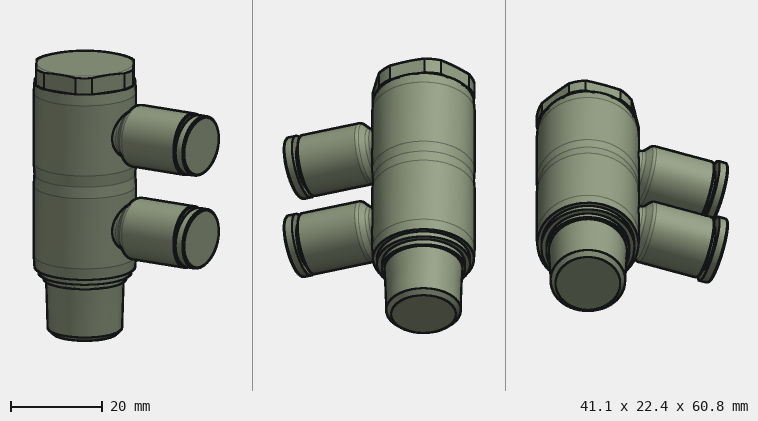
import cadquery as cq
import math

total_height = 60.8
module_height = 21.0
module_count = 2
hex_height = 3.95
stack_top = total_height - hex_height
stack_bottom = stack_top - module_count * module_height

module_radius = 11.2
module_end_radius = 11.0
module_taper_length = 2.55

hex_across_flats = 21.15
hex_corner_radius = 11.3
hex_top_radius = 10.45
hex_chamfer_height = 0.25

upper_shoulder_radius = 10.15
lower_shoulder_radius = 9.05
shoulder_height = 1.35
shoulder_bottom = stack_bottom - 2 * shoulder_height
stem_bottom_radius = 8.15
stem_chamfer = 1.1
stem_taper_ratio = 1 / 16
stem_taper_length = shoulder_bottom - stem_chamfer
stem_top_radius = stem_bottom_radius + stem_taper_length * stem_taper_ratio / 2

outlet_neck_radius = 5.05
outlet_radius = 6.8
outlet_cone_start = 11.3
outlet_cone_end = outlet_cone_start + outlet_radius - outlet_neck_radius
outlet_cone_fillet = 1.05
outlet_body_end = 26.8
outlet_end_chamfer = 0.2

collar_stem_radius = 4.85
collar_start = 27.7
collar_end = 29.75
collar_half_width = 7.6
collar_half_height = 6.5
collar_chamfer = 0.3


def make_stem():
    """Chamfered, tapered stem with two stepped shoulders above it."""
    profile = [
        (0, 0),
        (stem_bottom_radius - stem_chamfer, 0),
        (stem_bottom_radius, stem_chamfer),
        (stem_top_radius, shoulder_bottom),
        (lower_shoulder_radius, shoulder_bottom),
        (lower_shoulder_radius, shoulder_bottom + shoulder_height),
        (upper_shoulder_radius, shoulder_bottom + shoulder_height),
        (upper_shoulder_radius, stack_bottom),
        (0, stack_bottom),
    ]
    return cq.Workplane("XZ").polyline(profile).close().revolve(360, (0, 0), (0, 1))


def make_module(base):
    """Round module that narrows slightly towards both ends."""
    top = base + module_height
    profile = [
        (0, base),
        (module_end_radius, base),
        (module_radius, base + module_taper_length),
        (module_radius, top - module_taper_length),
        (module_end_radius, top),
        (0, top),
    ]
    return cq.Workplane("XZ").polyline(profile).close().revolve(360, (0, 0), (0, 1))


def make_hex_cap():
    """Hexagon with flats facing +Y and -Y, trimmed by a disc with a chamfered top rim."""
    across_corners = hex_across_flats / math.cos(math.pi / 6)
    hexagon = cq.Workplane("XY").workplane(offset=stack_top).polygon(6, across_corners).extrude(hex_height)
    profile = [
        (0, stack_top),
        (hex_corner_radius, stack_top),
        (hex_corner_radius, total_height - hex_chamfer_height),
        (hex_top_radius, total_height),
        (0, total_height),
    ]
    disc = cq.Workplane("XZ").polyline(profile).close().revolve(360, (0, 0), (0, 1))
    return hexagon.intersect(disc)


def make_outlet(height):
    """Outlet on +X: neck, cone blended at both ends, round body, groove and oval collar."""
    profile = [
        (0, 0),
        (0, outlet_neck_radius),
        (outlet_cone_start, outlet_neck_radius),
        (outlet_cone_end, outlet_radius),
        (outlet_body_end, outlet_radius),
        (outlet_body_end, 0),
    ]
    body = cq.Workplane("XZ").polyline(profile).close().revolve(360, (0, 0), (1, 0))
    body = body.faces(">X").edges().chamfer(outlet_end_chamfer)
    for rim_x in (outlet_cone_start, outlet_cone_end):
        cone_rim = cq.selectors.NearestToPointSelector((rim_x, 0, 0))
        body = body.edges("%CIRCLE").edges(cone_rim).fillet(outlet_cone_fillet)

    collar_stem = cq.Workplane("YZ").circle(collar_stem_radius).extrude(collar_start)
    collar = (
        cq.Workplane("YZ")
        .workplane(offset=collar_start)
        .ellipse(collar_half_width, collar_half_height)
        .extrude(collar_end - collar_start)
        .faces(">X")
        .edges()
        .chamfer(collar_chamfer)
    )
    return body.union(collar_stem).union(collar).translate((0, 0, height))


result = make_stem().union(make_hex_cap())
for index in range(module_count):
    module_base = stack_bottom + index * module_height
    result = result.union(make_module(module_base))
    result = result.union(make_outlet(module_base + module_height / 2))